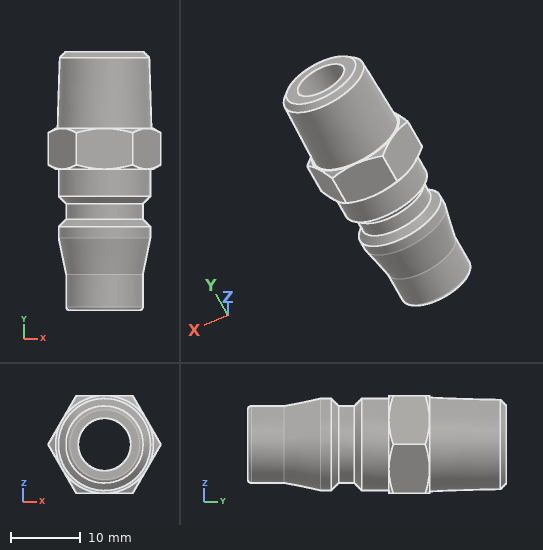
import cadquery as cq
import math

length = 37.0

plug_radius = 5.5
collar_radius = 6.6
bore_radius = 3.75
tip_round = 0.5
taper_start = 5.18
taper_end = 10.4
groove_start = 11.95
groove_end = 16.3
groove_flank = collar_radius - plug_radius

hex_start = 20.2
hex_end = 26.0
hex_across_flats = 14.0
hex_chamfer_angle = 30.0

gauge_plane = 31.0
gauge_radius = 6.6
radius_taper = 1 / 32
end_chamfer_length = 0.85
end_radius = 5.55


def thread_radius(y):
    return gauge_radius - radius_taper * (y - gauge_plane)


def revolve_about_y(profile):
    return profile.close().revolve(360, (0, 0, 0), (0, 1, 0))


def make_turned_body():
    chamfer_start = length - end_chamfer_length
    round_centre_radius = plug_radius - tip_round
    diagonal = tip_round * math.sqrt(0.5)
    profile = (
        cq.Workplane("XY")
        .lineTo(round_centre_radius, 0)
        .threePointArc(
            (round_centre_radius + diagonal, tip_round - diagonal),
            (plug_radius, tip_round),
        )
        .lineTo(plug_radius, taper_start)
        .lineTo(collar_radius, taper_end)
        .lineTo(collar_radius, groove_start)
        .lineTo(plug_radius, groove_start + groove_flank)
        .lineTo(plug_radius, groove_end - groove_flank)
        .lineTo(collar_radius, groove_end)
        .lineTo(collar_radius, hex_end)
        .lineTo(thread_radius(hex_end), hex_end)
        .lineTo(gauge_radius, gauge_plane)
        .lineTo(thread_radius(chamfer_start), chamfer_start)
        .lineTo(end_radius, length)
        .lineTo(0, length)
    )
    return revolve_about_y(profile)


def make_hexagon():
    flat_radius = hex_across_flats / 2
    corner_radius = flat_radius / math.cos(math.pi / 6)
    prism = (
        cq.Workplane("XZ", origin=(0, hex_start, 0))
        .polygon(6, 2 * corner_radius)
        .extrude(hex_start - hex_end)
    )
    chamfer_depth = (corner_radius - flat_radius) * math.tan(math.radians(hex_chamfer_angle))
    coned_disc = revolve_about_y(
        cq.Workplane("XY")
        .moveTo(0, hex_start)
        .lineTo(flat_radius, hex_start)
        .lineTo(corner_radius, hex_start + chamfer_depth)
        .lineTo(corner_radius, hex_end - chamfer_depth)
        .lineTo(flat_radius, hex_end)
        .lineTo(0, hex_end)
    )
    return prism.intersect(coned_disc)


def make_bore():
    return cq.Workplane("XZ").circle(bore_radius).extrude(-length)


result = make_turned_body().union(make_hexagon()).cut(make_bore())